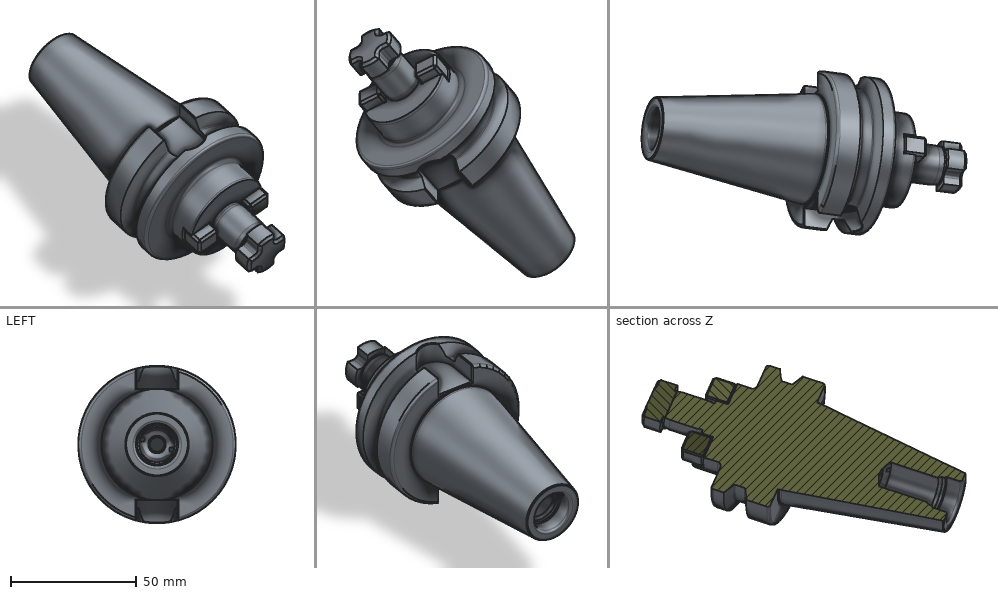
import cadquery as cq
import math

FULL_TURN = 360
AXIS_START = (0, 0, 0)
AXIS_END = (1, 0, 0)

taper_end_radius = 12.6
taper_end_chamfer = 0.4
taper_radius = 22.2
taper_length = 65.7
shank_collar_start = 66.6
shank_collar_radius = 22.3

flange_start = 67.3
flange_end = 92.5
flange_diameter = 63.0
flange_radius = flange_diameter / 2
flange_fillet = 1.2
groove_radius = 26.5
groove_floor_start = 79.7
groove_floor_end = 84.2
groove_half_angle = 27.0
groove_fillet = 0.5
groove_side_length = (flange_radius - groove_radius) * math.tan(math.radians(groove_half_angle))

slot_width = 16.2
slot_chamfer = 0.5
chamfer_angle = 45.0
slot_rim_chamfer = 0.4
slot_floor = 22.3
slot_end = 88.7

match_tolerance = 0.01

nose_radius = 19.0
nose_fillet = 1.8
nose_chamfer = 1.0
nose_chamfer_depth = 0.3
nose_end = 105.4
spigot_radius = 8.0
spigot_neck_radius = 7.7
spigot_neck_length = 1.0
spigot_neck_taper = 1.2
spigot_chamfer_length = 2.3
spigot_end = 121.5

mouth_radius = 9.6
counterbore_radius = 8.5
counterbore_depth = 6.7
relief_radius = 7.8
relief_start = 7.0
relief_end = 8.3
thread_radius = 7.0
thread_start = 9.8
thread_depth = 30.0
drill_tip_half_angle = 59.0

coolant_hole_radius = 0.98
coolant_circle_radius = 6.1
coolant_angle = 19.0
coolant_hole_count = 2

screw_radius = 3.5
screw_tip = 96.5
screw_tip_chamfer = 0.7
collar_length = 0.8
head_end = 130.4
head_radius = 10.0
head_chamfer = 1.2
arm_width = 8.3
arm_root_fillet = 2.0

key_width = 8.3
key_start = 100.3
key_end = 110.2
key_inner = 8.3
key_outer = 18.5
key_chamfer = 1.0


def cylinder(start, end, radius):
    """Cylinder along the X axis."""
    return (
        cq.Workplane("XZ")
        .moveTo(start, 0)
        .lineTo(start, radius)
        .lineTo(end, radius)
        .lineTo(end, 0)
        .close()
        .revolve(FULL_TURN, AXIS_START, AXIS_END)
    )


def key_block(side, outer):
    """Plain block of a drive key on the +Y (side = 1) or -Y (side = -1) side, reaching out to Y = outer."""
    length = key_end - key_start
    depth = outer - key_inner
    centre = ((key_start + key_end) / 2, side * (key_inner + outer) / 2, 0)
    return cq.Workplane("XY", origin=centre).box(length, depth, key_width)


def holder_blank():
    """Shank, flange, nose and spigot turned in one outline."""
    taper_rise = (taper_radius - taper_end_radius) * taper_end_chamfer / taper_length
    return (
        cq.Workplane("XZ")
        .moveTo(0, 0)
        .lineTo(0, taper_end_radius - taper_end_chamfer)
        .lineTo(taper_end_chamfer, taper_end_radius + taper_rise)
        .lineTo(taper_length, taper_radius)
        .lineTo(shank_collar_start, taper_radius)
        .lineTo(shank_collar_start, shank_collar_radius)
        .lineTo(flange_start, shank_collar_radius)
        .lineTo(flange_start, flange_radius - flange_fillet)
        .radiusArc((flange_start + flange_fillet, flange_radius), flange_fillet)
        .lineTo(groove_floor_start - groove_side_length, flange_radius)
        .lineTo(groove_floor_start, groove_radius)
        .lineTo(groove_floor_end, groove_radius)
        .lineTo(groove_floor_end + groove_side_length, flange_radius)
        .lineTo(flange_end - flange_fillet, flange_radius)
        .radiusArc((flange_end, flange_radius - flange_fillet), flange_fillet)
        .lineTo(flange_end, nose_radius + nose_fillet)
        .radiusArc((flange_end + nose_fillet, nose_radius), -nose_fillet)
        .lineTo(nose_end - nose_chamfer, nose_radius)
        .lineTo(nose_end, nose_radius - nose_chamfer_depth)
        .lineTo(nose_end, spigot_neck_radius)
        .lineTo(nose_end + spigot_neck_length, spigot_neck_radius)
        .lineTo(nose_end + spigot_neck_length + spigot_neck_taper, spigot_radius)
        .lineTo(spigot_end - spigot_chamfer_length, spigot_radius)
        .lineTo(spigot_end, spigot_neck_radius)
        .lineTo(spigot_end, 0)
        .close()
        .revolve(FULL_TURN, AXIS_START, AXIS_END)
    )


def on_groove_floor(edge):
    """Whether an edge is one of the two full circles that bound the floor of the V groove."""
    return edge.geomType() == "CIRCLE" and abs(edge.radius() - groove_radius) < match_tolerance


def turned_holder():
    """Turned blank with rounded corners in the bottom of the V groove."""
    blank = holder_blank()
    corners = [edge for edge in blank.edges().vals() if on_groove_floor(edge)]
    return blank.newObject(corners).fillet(groove_fillet)


def pull_stud_bore():
    """Rounded counterbore, relief and threaded bore with a drill-point bottom, and the screw hole beyond."""
    mouth_fillet = mouth_radius - counterbore_radius
    drill_tip_length = (thread_radius - screw_radius) / math.tan(math.radians(drill_tip_half_angle))
    return (
        cq.Workplane("XZ")
        .moveTo(0, 0)
        .lineTo(0, mouth_radius)
        .radiusArc((mouth_fillet, counterbore_radius), -mouth_fillet)
        .lineTo(counterbore_depth, counterbore_radius)
        .lineTo(relief_start, relief_radius)
        .lineTo(relief_end, relief_radius)
        .lineTo(thread_start, thread_radius)
        .lineTo(thread_depth, thread_radius)
        .lineTo(thread_depth + drill_tip_length, screw_radius)
        .lineTo(spigot_end, screw_radius)
        .lineTo(spigot_end, 0)
        .close()
        .revolve(FULL_TURN, AXIS_START, AXIS_END)
    )


def drive_slot(side):
    """Round-ended slot in the flange on the +Z (side = 1) or -Z (side = -1) side."""
    end_centre = slot_end - slot_width / 2
    half_width = slot_width / 2
    return (
        cq.Workplane("XY", origin=(0, 0, side * slot_floor))
        .moveTo(flange_start, -half_width)
        .lineTo(end_centre, -half_width)
        .threePointArc((slot_end, 0), (end_centre, half_width))
        .lineTo(flange_start, half_width)
        .close()
        .extrude(side * flange_radius)
    )


def slot_mouth(side):
    """Flared mouth that chamfers the edges of one drive slot on the shank side of the flange."""
    height = 2 * flange_radius
    return (
        cq.Workplane("YZ", origin=(flange_start, 0, 0))
        .center(0, side * (slot_floor - slot_chamfer + height / 2))
        .rect(slot_width + 2 * slot_chamfer, height)
        .extrude(slot_chamfer, taper=chamfer_angle)
    )


def on_slot_rim(edge):
    """Whether an edge is where a drive slot breaks through the outside of the flange."""
    middle = edge.positionAt(0.5)
    on_outside = abs(math.hypot(middle.y, middle.z) - flange_radius) < match_tolerance
    return on_outside and abs(middle.y) < slot_width / 2 + match_tolerance


def coolant_holes():
    """Two opposite holes from the threaded bore to the end of the spigot."""
    return (
        cq.Workplane("YZ", origin=(thread_depth, 0, 0))
        .polarArray(coolant_circle_radius, coolant_angle, FULL_TURN, coolant_hole_count)
        .circle(coolant_hole_radius)
        .extrude(spigot_end - thread_depth)
    )


def make_holder():
    """Holder body with its bores, flange slots and key slots."""
    holder = turned_holder().cut(pull_stud_bore()).cut(coolant_holes())
    for side in (1, -1):
        holder = holder.cut(drive_slot(side))
    rim = [edge for edge in holder.edges().vals() if on_slot_rim(edge)]
    holder = holder.newObject(rim).chamfer(slot_rim_chamfer)
    for side in (1, -1):
        holder = holder.cut(slot_mouth(side)).cut(key_block(side, nose_radius))
    return holder


def make_screw():
    """Clamping screw with a cross-shaped head."""
    head_start = spigot_end + collar_length
    head_length = head_end - head_start
    cross = (
        cq.Workplane("YZ", origin=(head_start, 0, 0))
        .rect(arm_width, 2 * head_radius)
        .extrude(head_length)
        .union(
            cq.Workplane("YZ", origin=(head_start, 0, 0))
            .rect(2 * head_radius, arm_width)
            .extrude(head_length)
        )
    )
    inner_corners = cq.selectors.BoxSelector(
        (head_start, -arm_width, -arm_width), (head_end, arm_width, arm_width)
    )
    cross = cross.edges("|X").edges(inner_corners).fillet(arm_root_fillet)
    envelope = cylinder(head_start, head_end, head_radius)
    head = cross.intersect(envelope).faces(">X").chamfer(head_chamfer)
    collar = cylinder(spigot_end, head_start, spigot_neck_radius)
    stem = cylinder(screw_tip, head_start, screw_radius).faces("<X").chamfer(screw_tip_chamfer)
    return head.union(collar).union(stem)


def make_key(side):
    """Drive key chamfered on every edge, seated in its slot in the nose."""
    return key_block(side, key_outer).edges().chamfer(key_chamfer)


holder = make_holder()
screw = make_screw()
keys = [make_key(side) for side in (1, -1)]

result = cq.Compound.makeCompound([holder.val(), screw.val(), *[key.val() for key in keys]])